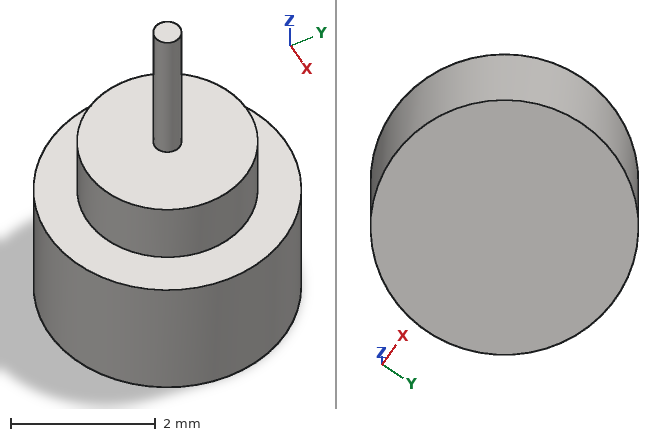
import cadquery as cq

total_height = 5.35
base_diameter = 3.7
base_height = 2.05
collar_diameter = 2.5
collar_height = 1.0
pin_diameter = 0.39

pin_height = total_height - base_height - collar_height


def add_cylinder(body, diameter, height):
    """Stack a coaxial cylinder on the top face of the body."""
    return body.faces(">Z").workplane().circle(diameter / 2).extrude(height)


base = cq.Workplane("XY").circle(base_diameter / 2).extrude(base_height)

base_with_collar = add_cylinder(base, collar_diameter, collar_height)
result = add_cylinder(base_with_collar, pin_diameter, pin_height)